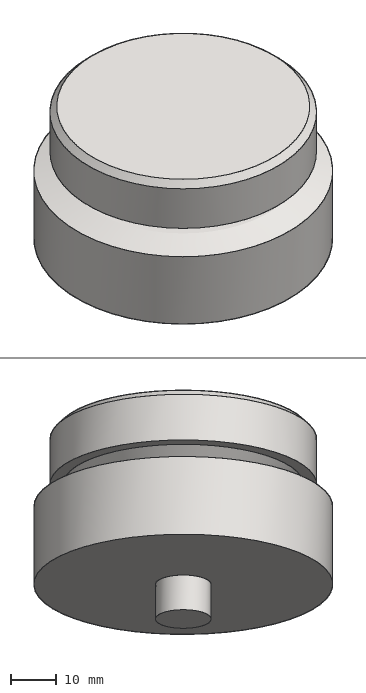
import cadquery as cq

base_radius = 32.5
base_side_height = 17.95
shoulder_height = 1.7
shoulder_top_radius = 26.2
stud_radius = 6.05
stud_length = 8.0
base_top = base_side_height + shoulder_height

button_radius = 29.0
button_height = 12.0
button_chamfer = 1.5
neck_height = 3.4
neck_top_radius = 26.1
neck_bottom_radius = 23.1


def revolve_profile(points):
    """Turn a closed (radius, height) outline around the Z axis."""
    return cq.Workplane("XZ").polyline(points).close().revolve(360, (0, 0), (0, 1))


def make_base():
    return revolve_profile([
        (0, -stud_length),
        (stud_radius, -stud_length),
        (stud_radius, 0),
        (base_radius, 0),
        (base_radius, base_side_height),
        (shoulder_top_radius, base_top),
        (0, base_top),
    ])


def make_button():
    button_bottom = base_top + neck_height
    button_top = button_bottom + button_height
    return revolve_profile([
        (0, base_top),
        (neck_bottom_radius, base_top),
        (neck_top_radius, button_bottom),
        (button_radius, button_bottom),
        (button_radius, button_top - button_chamfer),
        (button_radius - button_chamfer, button_top),
        (0, button_top),
    ])


base = make_base()
button = make_button()
result = cq.Compound.makeCompound([base.val(), button.val()])